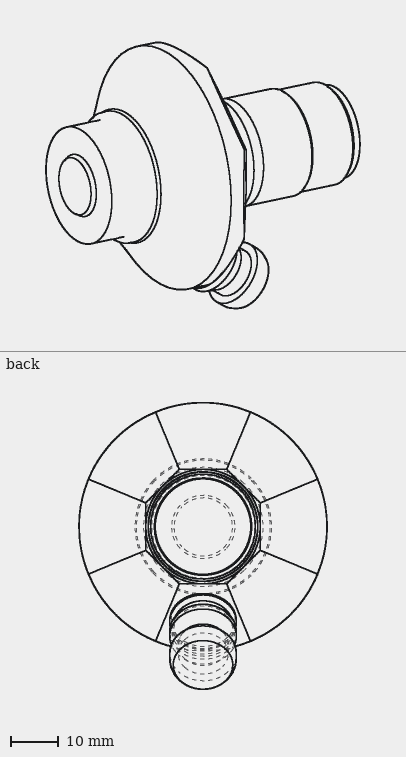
import cadquery as cq
import math

length = 65.0
rim_radius = 26.0
rim_front = 22.05

tip_radius = 6.1
tip_base_radius = 6.6
hub_front = 1.0
hub_radius = 25.0 / 2
hub_fillet = 0.5
front_collar_radius = 28.0 / 2
front_collar_front = 9.95
front_collar_round = 0.5
front_collar_rear = 11.4
cone_front = 12.15
cone_front_radius = 14.3

rear_collar_radius = 24.0 / 2
rear_collar_front = 35.05
rear_collar_rear = 37.05
groove_edge_radius = 11.4
groove_radius = 10.8
groove_middle = 38.4
groove_rear = 39.6
shank_radius = 11.5
shank_front = 39.8
shank_rear = 51.95
sleeve_radius = 11.0
sleeve_front = 52.5
sleeve_rear = 62.5
end_radius = 10.0
end_step_radius = 10.2
end_front = 63.4

facet_count = 8
facet_angle = 35.0
nozzle_offset = 9.2
nozzle_length = 16.45
nozzle_root = 1.95
nozzle_radius = 14.0 / 2
nozzle_end_radius = 6.25
nozzle_waist_radius = 5.25
nozzle_throat_radius = 6.2
nozzle_foot_radius = 6.7
nozzle_bead_edge_radius = 6.6
flange_round = 3.9

foot_edge_height = 0.3
foot_top_height = 0.85
throat_start_height = 1.8
throat_end_height = 3.6
bead_start_height = 3.7
bead_rise_height = 4.3
bead_end_height = 6.0
waist_height = 9.05
flange_height = 12.15
flange_round_height = 14.05

facet_slope = math.tan(math.radians(facet_angle))


def make_front():
    """Front hub, collar, cone and rim, with full-width stock left for the facets to trim."""
    profile = (
        cq.Workplane("XY")
        .lineTo(tip_radius, 0)
        .lineTo(tip_base_radius, hub_front)
        .lineTo(hub_radius, hub_front)
        .lineTo(hub_radius, front_collar_front - hub_fillet)
        .radiusArc((hub_radius + hub_fillet, front_collar_front), hub_fillet)
        .lineTo(front_collar_radius - front_collar_round, front_collar_front)
        .radiusArc((front_collar_radius, front_collar_front + front_collar_round), -front_collar_round)
        .lineTo(front_collar_radius, front_collar_rear)
        .lineTo(cone_front_radius, cone_front)
        .lineTo(rim_radius, rim_front)
        .lineTo(rim_radius, rear_collar_front)
        .lineTo(0, rear_collar_front)
        .close()
    )
    return profile.revolve(360, (0, 0), (0, 1))


def make_facets():
    """Eight-sided pyramid frustum whose flats face X and Z."""
    depth = rear_collar_front
    large_apothem = rear_collar_radius + depth / facet_slope
    corner_ratio = 1 / math.cos(math.pi / facet_count)

    def octagon(apothem, y):
        radius = apothem * corner_ratio
        angles = [(2 * i + 1) * math.pi / facet_count for i in range(facet_count)]
        corners = [cq.Vector(radius * math.cos(a), y, radius * math.sin(a)) for a in angles]
        return cq.Wire.makePolygon(corners, close=True)

    wires = [octagon(large_apothem, 0), octagon(rear_collar_radius, rear_collar_front)]
    return cq.Workplane(obj=cq.Solid.makeLoft(wires, True))


def make_shank():
    """Stepped rear shank with a round groove behind its collar."""
    profile = (
        cq.Workplane("XY")
        .moveTo(0, rim_front)
        .lineTo(rear_collar_radius, rim_front)
        .lineTo(rear_collar_radius, rear_collar_rear)
        .lineTo(groove_edge_radius, rear_collar_rear)
        .threePointArc((groove_radius, groove_middle), (groove_edge_radius, groove_rear))
        .lineTo(shank_radius, shank_front)
        .lineTo(shank_radius, shank_rear)
        .lineTo(sleeve_radius, sleeve_front)
        .lineTo(sleeve_radius, sleeve_rear)
        .lineTo(end_step_radius, end_front)
        .lineTo(end_radius, end_front)
        .lineTo(end_radius, length)
        .lineTo(0, length)
        .close()
    )
    return profile.revolve(360, (0, 0), (0, 1))


def make_nozzle():
    """Side nozzle, square to the facet that faces -Z."""
    angle = math.radians(facet_angle)
    foot = (
        0,
        rear_collar_front - nozzle_offset * math.sin(angle),
        -rear_collar_radius - nozzle_offset * math.cos(angle),
    )
    plane = cq.Plane(origin=foot, xDir=(1, 0, 0), normal=(0, math.sin(angle), math.cos(angle)))
    profile = (
        cq.Workplane(plane)
        .moveTo(0, -nozzle_root)
        .lineTo(nozzle_foot_radius, -nozzle_root)
        .lineTo(nozzle_foot_radius, 0)
        .lineTo(nozzle_radius, foot_edge_height)
        .lineTo(nozzle_radius, foot_top_height)
        .lineTo(nozzle_throat_radius, throat_start_height)
        .lineTo(nozzle_throat_radius, throat_end_height)
        .lineTo(nozzle_bead_edge_radius, bead_start_height)
        .lineTo(nozzle_radius, bead_rise_height)
        .lineTo(nozzle_radius, bead_end_height)
        .lineTo(nozzle_waist_radius, waist_height)
        .lineTo(nozzle_waist_radius, flange_height)
        .lineTo(nozzle_radius, flange_height)
        .lineTo(nozzle_radius, flange_round_height)
        .radiusArc((nozzle_end_radius, nozzle_length), -flange_round)
        .lineTo(0, nozzle_length)
        .close()
    )
    return profile.revolve(360, (0, 0), (0, 1))


result = make_front().intersect(make_facets()).union(make_shank()).union(make_nozzle())